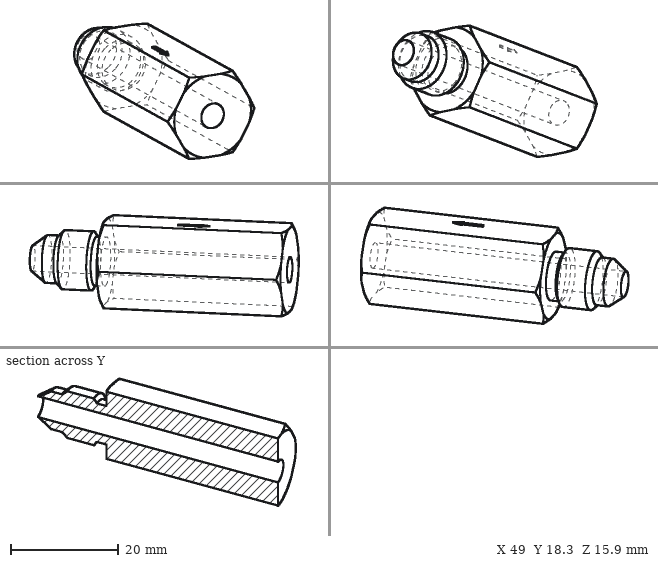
import cadquery as cq
import math

TOTAL_LENGTH = 49.02
HEX_ACROSS_FLATS = 15.875
BORE_DIAMETER = 4.78

NOSE_DIAMETER = 8.99
THREAD_DIAMETER = 11.1
NECK_DIAMETER = 9.17
FLARE_HALF_ANGLE = 37.0
NOSE_CONE_END = 2.75
THREAD_CHAMFER_START = 4.95
THREAD_END = 11.45
HEX_START = 13.95
THREAD_CHAMFER_ANGLE = 45.0
NECK_CHAMFER_ANGLE = 57.0

HEX_FACE_DIAMETER = 16.2
HEX_CHAMFER_ANGLE = 30.0

ARROW_TAIL_X = 28.1
ARROW_LENGTH = 5.9
ARROW_HEAD_LENGTH = 1.95
ARROW_SHAFT_WIDTH = 0.7
ARROW_HEAD_WIDTH = 1.5
ARROW_CENTER_Y = -1.26
ARROW_DEPTH = 0.1


def slope_rise(length, angle):
    """Height gained over a length at an angle in degrees."""
    return length * math.tan(math.radians(angle))


def revolve_about_x(points):
    """Solid of revolution from (x, radius) points around the part axis."""
    return (
        cq.Workplane("XY")
        .polyline(points)
        .close()
        .revolve(360, (0, 0, 0), (1, 0, 0))
    )


def male_end():
    """Flare cone, nose cylinder, thread body and neck."""
    nose_radius = NOSE_DIAMETER / 2
    thread_radius = THREAD_DIAMETER / 2
    neck_radius = NECK_DIAMETER / 2
    tip_radius = nose_radius - slope_rise(NOSE_CONE_END, FLARE_HALF_ANGLE)
    thread_step = thread_radius - nose_radius
    neck_step = thread_radius - neck_radius
    thread_start = THREAD_CHAMFER_START + slope_rise(thread_step, THREAD_CHAMFER_ANGLE)
    neck_start = THREAD_END + neck_step / math.tan(math.radians(NECK_CHAMFER_ANGLE))
    return revolve_about_x([
        (0, 0),
        (0, tip_radius),
        (NOSE_CONE_END, nose_radius),
        (THREAD_CHAMFER_START, nose_radius),
        (thread_start, thread_radius),
        (THREAD_END, thread_radius),
        (neck_start, neck_radius),
        (HEX_START, neck_radius),
        (HEX_START, 0),
    ])


def hex_body():
    """Hexagonal bar, flats up and down, with turned corners at both ends."""
    corner_radius = HEX_ACROSS_FLATS / math.sqrt(3)
    face_radius = HEX_FACE_DIAMETER / 2
    chamfer_length = slope_rise(corner_radius - face_radius, HEX_CHAMFER_ANGLE)
    bar = (
        cq.Workplane("YZ")
        .workplane(offset=HEX_START)
        .polygon(6, 2 * corner_radius)
        .extrude(TOTAL_LENGTH - HEX_START)
    )
    turned_envelope = revolve_about_x([
        (HEX_START, 0),
        (HEX_START, face_radius),
        (HEX_START + chamfer_length, corner_radius),
        (TOTAL_LENGTH - chamfer_length, corner_radius),
        (TOTAL_LENGTH, face_radius),
        (TOTAL_LENGTH, 0),
    ])
    return bar.intersect(turned_envelope)


def bore():
    """Straight passage through the whole part."""
    return cq.Workplane("YZ").circle(BORE_DIAMETER / 2).extrude(TOTAL_LENGTH)


def flow_arrow():
    """Shallow arrow pocket pointing along +X."""
    shaft_length = ARROW_LENGTH - ARROW_HEAD_LENGTH
    shaft_half = ARROW_SHAFT_WIDTH / 2
    head_half = ARROW_HEAD_WIDTH / 2
    return (
        cq.Workplane("XY", origin=(ARROW_TAIL_X, ARROW_CENTER_Y, HEX_ACROSS_FLATS / 2))
        .polyline([
            (0, -shaft_half),
            (shaft_length, -shaft_half),
            (shaft_length, -head_half),
            (ARROW_LENGTH, 0),
            (shaft_length, head_half),
            (shaft_length, shaft_half),
            (0, shaft_half),
        ])
        .close()
        .extrude(-ARROW_DEPTH)
    )


result = male_end().union(hex_body()).cut(bore()).cut(flow_arrow())